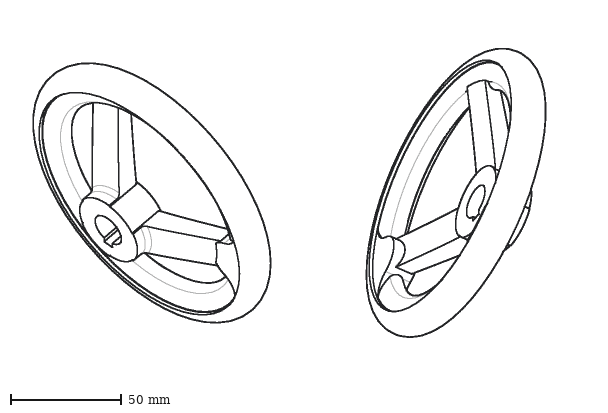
import cadquery as cq
import math


RIM_DIAMETER = 140.0
RIM_WIDTH = 17.0
RECESS_DIAMETER = 123.0
RECESS_LEDGE = 0.4
WEB_TAPER_ANGLE = 21.0
WEB_INNER_RADIUS = 50.6
WEB_ROUND = 3.8

OVERALL_WIDTH = 38.0
HUB_DIAMETER = 35.0
HUB_LENGTH = 19.0
BORE_DIAMETER = 16.0
KEYWAY_WIDTH = 5.0
KEYWAY_REACH = 10.3

SPOKE_COUNT = 3
SPOKE_WIDTH_AT_HUB = 19.1
SPOKE_WIDTH_AT_RIM = 17.9
SPOKE_ROOT_DIAMETER = 36.0
SPOKE_ROOT_SETBACK = 6.8
SPOKE_ROOT_FILLET = 3.0
SPOKE_FRONT_ANGLE = 30.0
SPOKE_BACK_ANGLE = 25.4
SPOKE_BACK_OFFSET = 0.9
SPOKE_END_RADIUS = 53.0

BOSS_OFFSET = 55.0
BOSS_RADIUS = 12.0
BOSS_FILLET = 11.0

recess_radius = RECESS_DIAMETER / 2
hub_radius = HUB_DIAMETER / 2
bore_radius = BORE_DIAMETER / 2
hub_front_y = -OVERALL_WIDTH
hub_back_y = hub_front_y + HUB_LENGTH
rim_mid_y = -RIM_WIDTH / 2

web_angle = math.radians(WEB_TAPER_ANGLE)
web_round_center = WEB_INNER_RADIUS + WEB_ROUND
cone_start_radius = web_round_center - WEB_ROUND * math.sin(web_angle)
cone_start_height = WEB_ROUND * math.cos(web_angle)
ledge_radius = recess_radius - RECESS_LEDGE
ledge_height = cone_start_height + (ledge_radius - cone_start_radius) * math.tan(web_angle)


def revolve_about_axis(profile):
    """Turn a closed XY profile (X is the radius) fully around the wheel axis."""
    return profile.revolve(360, (0, 0, 0), (0, 1, 0))


def make_rim():
    outer_round = RIM_WIDTH / 2
    crown_radius = RIM_DIAMETER / 2 - outer_round
    profile = (
        cq.Workplane("XY", origin=(0, rim_mid_y, 0))
        .moveTo(crown_radius, outer_round)
        .threePointArc((RIM_DIAMETER / 2, 0), (crown_radius, -outer_round))
        .lineTo(recess_radius, -ledge_height)
        .lineTo(ledge_radius, -ledge_height)
        .lineTo(cone_start_radius, -cone_start_height)
        .threePointArc((WEB_INNER_RADIUS, 0), (cone_start_radius, cone_start_height))
        .lineTo(ledge_radius, ledge_height)
        .lineTo(recess_radius, ledge_height)
        .close()
    )
    return revolve_about_axis(profile)


def hub_back_plane():
    """Plane on the back of the hub; extruding from it runs towards the front."""
    return cq.Workplane("XZ", origin=(0, hub_back_y, 0))


def make_hub():
    return hub_back_plane().circle(hub_radius).extrude(HUB_LENGTH)


def cut_bore(body):
    bore = hub_back_plane().circle(bore_radius).extrude(HUB_LENGTH)
    keyway = (
        hub_back_plane()
        .center(0, -KEYWAY_REACH / 2)
        .rect(KEYWAY_WIDTH, KEYWAY_REACH)
        .extrude(HUB_LENGTH)
    )
    return body.cut(bore).cut(keyway)


def make_spoke_dish():
    """Conical dish with a filleted root around the hub; each spoke is a strip of it."""
    root_radius = SPOKE_ROOT_DIAMETER / 2
    front_angle = math.radians(SPOKE_FRONT_ANGLE)
    back_slope = math.tan(math.radians(SPOKE_BACK_ANGLE))
    corner_y = hub_front_y + SPOKE_ROOT_SETBACK
    corner_angle = math.pi / 2 + front_angle
    tangent_length = SPOKE_ROOT_FILLET / math.tan(corner_angle / 2)
    fillet_start = (root_radius, corner_y - tangent_length)
    fillet_end = (
        root_radius + tangent_length * math.cos(front_angle),
        corner_y + tangent_length * math.sin(front_angle),
    )
    front_end_y = corner_y + (SPOKE_END_RADIUS - root_radius) * math.tan(front_angle)
    back_start_y = hub_back_y - SPOKE_BACK_OFFSET
    back_end_y = back_start_y + (SPOKE_END_RADIUS - hub_radius) * back_slope
    profile = (
        cq.Workplane("XY")
        .moveTo(bore_radius, back_start_y)
        .lineTo(bore_radius, hub_front_y)
        .lineTo(root_radius, hub_front_y)
        .lineTo(*fillet_start)
        .tangentArcPoint(fillet_end, relative=False)
        .lineTo(SPOKE_END_RADIUS, front_end_y)
        .lineTo(SPOKE_END_RADIUS, back_end_y)
        .lineTo(hub_radius, back_start_y)
        .close()
    )
    return revolve_about_axis(profile)


def make_spokes():
    """Tapered strips of the dish, evenly spaced around the axis from +X."""
    taper = (SPOKE_WIDTH_AT_HUB - SPOKE_WIDTH_AT_RIM) / (SPOKE_END_RADIUS - hub_radius)
    half_inner = (SPOKE_WIDTH_AT_HUB + taper * (hub_radius - bore_radius)) / 2
    half_outer = SPOKE_WIDTH_AT_RIM / 2
    strip = (
        cq.Workplane("XZ")
        .moveTo(bore_radius, -half_inner)
        .lineTo(SPOKE_END_RADIUS, -half_outer)
        .lineTo(SPOKE_END_RADIUS, half_outer)
        .lineTo(bore_radius, half_inner)
        .close()
        .extrude(OVERALL_WIDTH)
    )
    first_spoke = make_spoke_dish().intersect(strip)
    spokes = first_spoke
    for index in range(1, SPOKE_COUNT):
        angle = index * 360 / SPOKE_COUNT
        spokes = spokes.union(first_spoke.rotate((0, 0, 0), (0, 1, 0), angle))
    return spokes


def make_boss():
    """Round boss, as thick as the rim at its ledges, blended into the recess wall on both sides."""
    axis_to_blend = recess_radius - BOSS_FILLET
    boss_to_blend = BOSS_RADIUS + BOSS_FILLET
    blend_x = (axis_to_blend**2 + BOSS_OFFSET**2 - boss_to_blend**2) / (2 * BOSS_OFFSET)
    blend_z = math.sqrt(axis_to_blend**2 - blend_x**2)
    boss_share = BOSS_RADIUS / boss_to_blend
    boss_x = BOSS_OFFSET + (blend_x - BOSS_OFFSET) * boss_share
    boss_z = blend_z * boss_share
    wall_x = blend_x * recess_radius / axis_to_blend
    wall_z = blend_z * recess_radius / axis_to_blend
    start_angle = math.atan2(boss_z - blend_z, boss_x - blend_x)
    end_angle = math.atan2(wall_z - blend_z, wall_x - blend_x)
    mid_angle = (start_angle + end_angle) / 2
    mid_x = blend_x + BOSS_FILLET * math.cos(mid_angle)
    mid_z = blend_z + BOSS_FILLET * math.sin(mid_angle)
    return (
        cq.Workplane("XZ", origin=(0, rim_mid_y, 0))
        .moveTo(boss_x, boss_z)
        .threePointArc((BOSS_OFFSET - BOSS_RADIUS, 0), (boss_x, -boss_z))
        .threePointArc((mid_x, -mid_z), (wall_x, -wall_z))
        .threePointArc((recess_radius, 0), (wall_x, wall_z))
        .threePointArc((mid_x, mid_z), (boss_x, boss_z))
        .close()
        .extrude(ledge_height, both=True)
    )


body = make_rim().union(make_boss()).union(make_spokes()).union(make_hub())
result = cut_bore(body)